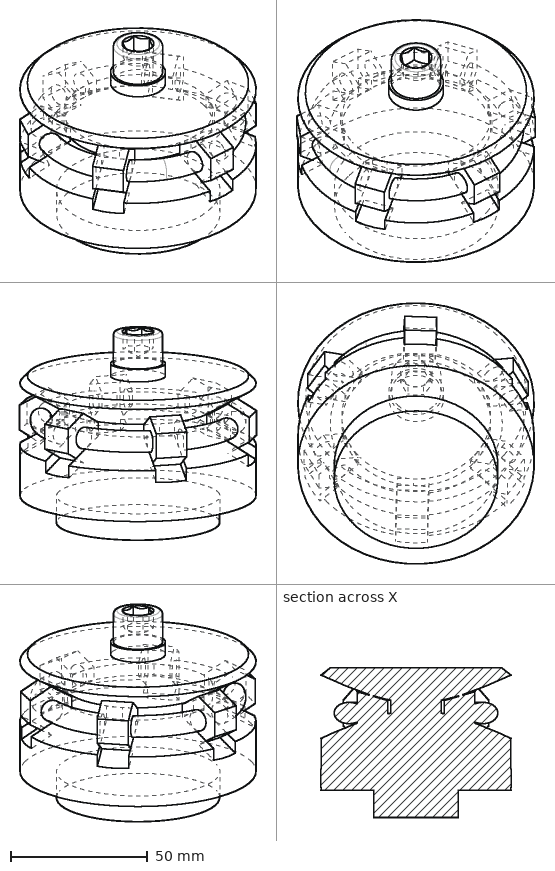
import cadquery as cq
import math


outer_radius = 43.25
wedge_angle = 30.0
wedge_slope = math.tan(math.radians(wedge_angle))

spigot_radius = 29.9
spigot_height = 10.0
rim_height = 29.1

jaw_count = 6
hexagon_sides = 6
jaw_across_flats = 16.0
jaw_width = 11.7
ring_center_radius = 35.5
ring_radius = 4.0

cap_chamfer = 2.8
washer_radius = 10.0
washer_height = 4.7
head_radius = 9.0
total_height = 71.6
head_fillet = 1.2
socket_across_flats = 10.0
socket_depth = 6.05
socket_mouth_radius = 5.8
socket_point_angle = 30.0

jaw_side = jaw_across_flats / math.sqrt(3)
jaw_center_radius = outer_radius - jaw_across_flats / 2
jaw_inner_radius = outer_radius - jaw_across_flats
cone_rise = jaw_across_flats * wedge_slope
jaw_center_height = rim_height + jaw_side
cap_bottom = jaw_center_height + jaw_side / 2
cap_edge = cap_bottom + cone_rise
cap_top = cap_edge + cap_chamfer
washer_top = cap_top + washer_height


def cylinder(radius, bottom, top):
    return cq.Workplane("XY").workplane(offset=bottom).circle(radius).extrude(top - bottom)


def revolve_profile(points):
    return cq.Workplane("XZ").polyline(points).close().revolve(360, (0, 0, 0), (0, 1, 0))


def around_axis(body):
    """Union of copies of a body placed evenly around Z."""
    copies = body
    for index in range(1, jaw_count):
        copies = copies.union(body.rotate((0, 0, 0), (0, 0, 1), index * 360 / jaw_count))
    return copies


def make_base():
    """Spigot and body of the base, closed by the lower wedge cone."""
    return revolve_profile([
        (0, 0),
        (spigot_radius, 0),
        (spigot_radius, spigot_height),
        (outer_radius, spigot_height),
        (outer_radius, rim_height),
        (jaw_inner_radius, rim_height + cone_rise),
        (0, rim_height + cone_rise),
    ])


def make_guide_slots():
    """Slots whose sloping floors carry the inner lower faces of the jaws."""
    reach = 2 * outer_radius
    floor_inner = jaw_center_height - jaw_side / 2
    floor_outer = floor_inner - (reach - jaw_inner_radius) * wedge_slope
    slot = (
        cq.Workplane("YZ")
        .polyline([
            (-jaw_inner_radius, floor_inner),
            (-reach, floor_outer),
            (-reach, cap_bottom),
            (-jaw_inner_radius, cap_bottom),
        ])
        .close()
        .extrude(jaw_width / 2, both=True)
    )
    return around_axis(slot)


def make_jaws():
    """Hexagonal jaws with their outer faces flush with the outer radius."""
    jaw = (
        cq.Workplane("YZ")
        .center(-jaw_center_radius, jaw_center_height)
        .transformed(rotate=(0, 0, 90))
        .polygon(hexagon_sides, 2 * jaw_side)
        .extrude(jaw_width / 2, both=True)
    )
    return around_axis(jaw)


def make_ring():
    return (
        cq.Workplane("XZ")
        .center(ring_center_radius, jaw_center_height)
        .circle(ring_radius)
        .revolve(360, (-ring_center_radius, 0, 0), (-ring_center_radius, 1, 0))
    )


def make_cap():
    return revolve_profile([
        (0, cap_bottom),
        (jaw_inner_radius, cap_bottom),
        (outer_radius, cap_edge),
        (outer_radius - cap_chamfer, cap_top),
        (0, cap_top),
    ])


def make_socket():
    """Hexagonal recess with a conical mouth and a conical floor."""
    corner_radius = socket_across_flats / math.sqrt(3)
    floor = total_height - socket_depth
    point = floor - corner_radius * math.tan(math.radians(socket_point_angle))
    hexagon = (
        cq.Workplane("XY")
        .workplane(offset=point)
        .polygon(hexagon_sides, 2 * corner_radius)
        .extrude(total_height - point)
    )
    pointed_bore = revolve_profile([
        (0, point),
        (corner_radius, floor),
        (corner_radius, total_height),
        (0, total_height),
    ])
    mouth = revolve_profile([
        (0, total_height),
        (socket_mouth_radius, total_height),
        (0, total_height - socket_mouth_radius),
    ])
    return hexagon.intersect(pointed_bore).union(mouth)


def make_screw():
    washer = cylinder(washer_radius, cap_top, washer_top)
    head = cylinder(head_radius, cap_top, total_height).faces(">Z").edges().fillet(head_fillet)
    return washer.union(head).cut(make_socket())


core = cylinder(jaw_inner_radius, spigot_height, cap_top)
base = make_base().cut(make_guide_slots())
result = base.union(core).union(make_cap()).union(make_jaws()).union(make_ring()).union(make_screw())